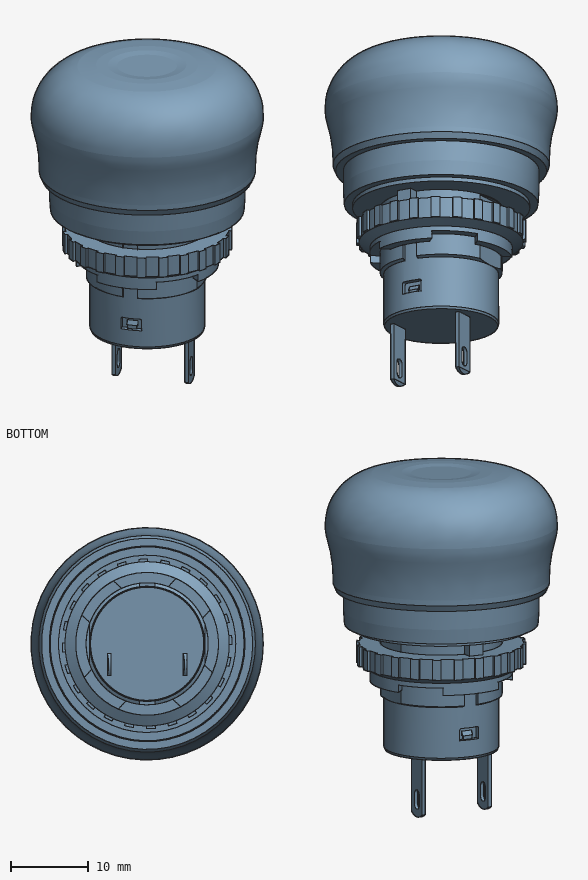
import cadquery as cq
import math

HEIGHT = 44.5

CAP_RADIUS = 15.0
CAP_BOTTOM = 29.05
EQUATOR_Z = 37.55
CROWN_DROP = 0.2
CROWN_SHOULDER_RADIUS = 9.0
CROWN_RING_RADIUS = 6.6
DISH_RIM_RADIUS = 5.07
DISH_FLOOR_RADIUS = 3.85
DISH_DEPTH = 0.15
FLARE_TOP_Z = 35.7
FLARE_TOP_RADIUS = 14.75
SKIRT_RADIUS = 13.97
SKIRT_TOP_Z = 30.53
CAP_CHAMFER_TOP_Z = 29.85
CAP_BOTTOM_RADIUS = 13.6

BEZEL_RADIUS = 12.65
BEZEL_LOWER_TOP_Z = 26.4
BEZEL_BOTTOM_RADIUS = 12.5
BEZEL_BOTTOM_Z = 24.5
FLANGE_RADIUS = 11.45
FLANGE_BOTTOM_Z = 24.0
NECK_RADIUS = 7.88
NECK_CUT_TOP_Z = 23.85
NECK_BOTTOM_Z = 15.2
BARREL_RADIUS = 7.45
BARREL_TOP_Z = 15.0
BARREL_BOTTOM_Z = 8.0
BARREL_CHAMFER_HEIGHT = 0.3
BARREL_CHAMFER_WIDTH = 0.15
KEYWAY_WIDTH = 2.0
KEY_ROOT_DEPTH = 0.45

WINDOW_WIDTH = 2.8
WINDOW_BOTTOM_Z = 10.55
WINDOW_HEIGHT = 1.6
WINDOW_CORNER = 0.25
WINDOW_DEPTH = 0.8
LATCH_WIDTH = 1.45
LATCH_TIP_WIDTH = 1.2
LATCH_HEIGHT = 1.05
LATCH_TIP_HEIGHT = 0.5
LATCH_REACH = 0.3

TERMINAL_X = 4.9
TERMINAL_Y = 2.65
TERMINAL_WIDTH = 2.8
TERMINAL_THICKNESS = 0.5
TERMINAL_TIP_HEIGHT = 0.55
TIP_BEVEL = 0.2
EYE_WIDTH = 1.2
EYE_LENGTH = 2.55
EYE_Z = 2.3

NUT_TOP_Z = 22.03
TEETH_BOTTOM_Z = 19.35
CONE_BOTTOM_Z = 18.6
NOTCH_TOP_Z = 18.0
NUT_BOTTOM_Z = 17.0
TOOTH_TIP_RADIUS = 10.95
TOOTH_ROOT_RADIUS = 10.6
NUT_COLLAR_RADIUS = 9.2
TOOTH_COUNT = 24
TOOTH_ANGLE = 6.0
FIRST_TOOTH_ANGLE = -77.6
NOTCH_COUNT = 4
NOTCH_WIDTH = 6.0
FIRST_NOTCH_ANGLE = 42.8


def polar(radius, degrees):
    angle = math.radians(degrees)
    return (radius * math.cos(angle), radius * math.sin(angle))


def sector(radius, middle, width, bottom, top):
    """Pie slice about Z, of the given angular width in degrees around its middle angle."""
    return (
        cq.Workplane("XY", origin=(0, 0, bottom))
        .lineTo(*polar(radius, middle - width / 2))
        .threePointArc(polar(radius, middle), polar(radius, middle + width / 2))
        .close()
        .extrude(top - bottom)
    )


def make_cap():
    shoulder_z = HEIGHT - CROWN_DROP
    inward = CAP_RADIUS - CROWN_SHOULDER_RADIUS
    upward = shoulder_z - EQUATOR_Z
    dome_radius = (inward**2 + upward**2) / (2 * inward)
    dome_middle = math.asin(upward / dome_radius) / 2
    dome_middle_point = (
        CAP_RADIUS - dome_radius * (1 - math.cos(dome_middle)),
        EQUATOR_Z + dome_radius * math.sin(dome_middle),
    )
    profile = (
        cq.Workplane("XZ")
        .moveTo(0, CAP_BOTTOM)
        .lineTo(CAP_BOTTOM_RADIUS, CAP_BOTTOM)
        .lineTo(SKIRT_RADIUS, CAP_CHAMFER_TOP_Z)
        .lineTo(SKIRT_RADIUS, SKIRT_TOP_Z)
        .tangentArcPoint((FLARE_TOP_RADIUS, FLARE_TOP_Z), relative=False)
        .tangentArcPoint((CAP_RADIUS, EQUATOR_Z), relative=False)
        .threePointArc(dome_middle_point, (CROWN_SHOULDER_RADIUS, shoulder_z))
        .lineTo(CROWN_RING_RADIUS, HEIGHT)
        .lineTo(DISH_RIM_RADIUS, HEIGHT)
        .lineTo(DISH_FLOOR_RADIUS, HEIGHT - DISH_DEPTH)
        .lineTo(0, HEIGHT - DISH_DEPTH)
        .close()
    )
    return profile.revolve(360, (0, 0, 0), (0, 1, 0))


def make_base_core():
    profile = (
        cq.Workplane("XZ")
        .moveTo(0, BARREL_BOTTOM_Z)
        .lineTo(BARREL_RADIUS - BARREL_CHAMFER_WIDTH, BARREL_BOTTOM_Z)
        .lineTo(BARREL_RADIUS, BARREL_BOTTOM_Z + BARREL_CHAMFER_HEIGHT)
        .lineTo(BARREL_RADIUS, BARREL_TOP_Z)
        .lineTo(NECK_RADIUS, NECK_BOTTOM_Z)
        .lineTo(NECK_RADIUS, FLANGE_BOTTOM_Z)
        .lineTo(FLANGE_RADIUS, FLANGE_BOTTOM_Z)
        .lineTo(FLANGE_RADIUS, BEZEL_BOTTOM_Z)
        .lineTo(BEZEL_BOTTOM_RADIUS, BEZEL_BOTTOM_Z)
        .lineTo(BEZEL_RADIUS, BEZEL_LOWER_TOP_Z)
        .lineTo(BEZEL_RADIUS, CAP_BOTTOM)
        .lineTo(0, CAP_BOTTOM)
        .close()
    )
    return profile.revolve(360, (0, 0, 0), (0, 1, 0))


def cut_neck(core):
    """Flats on the -X and +X sides and keyways on the -Y and +Y sides, down to the barrel surface."""
    cut_height = NECK_CUT_TOP_Z - BARREL_TOP_Z
    ring = (
        cq.Workplane("XY", origin=(0, 0, BARREL_TOP_Z))
        .circle(FLANGE_RADIUS)
        .circle(BARREL_RADIUS)
        .extrude(cut_height)
    )
    across = 2 * FLANGE_RADIUS
    keyways = (
        cq.Workplane("XY", origin=(0, 0, BARREL_TOP_Z))
        .rect(KEYWAY_WIDTH, across)
        .extrude(cut_height)
        .intersect(ring)
    )
    between_flats = cq.Workplane("XY", origin=(0, 0, BARREL_TOP_Z)).rect(2 * BARREL_RADIUS, across)
    outside_flats = ring.cut(between_flats.extrude(cut_height))
    return core.cut(keyways).cut(outside_flats)


def make_key():
    """Anti-rotation key on the +Y side, from the flange down to the nut."""
    length = NUT_COLLAR_RADIUS - BARREL_RADIUS + KEY_ROOT_DEPTH
    return (
        cq.Workplane("XY", origin=(0, NUT_COLLAR_RADIUS - length / 2, NUT_TOP_Z))
        .rect(KEYWAY_WIDTH, length)
        .extrude(FLANGE_BOTTOM_Z - NUT_TOP_Z)
    )


def make_window():
    """Pocket on the -Y side of the barrel, less the latch that stays standing in it."""
    floor_y = -(BARREL_RADIUS - WINDOW_DEPTH)
    pocket = (
        cq.Workplane("XZ", origin=(0, floor_y, WINDOW_BOTTOM_Z + WINDOW_HEIGHT / 2))
        .rect(WINDOW_WIDTH, WINDOW_HEIGHT)
        .extrude(2 * WINDOW_DEPTH)
        .edges("|Y and >Z")
        .fillet(WINDOW_CORNER)
    )
    wedge = (
        cq.Workplane("YZ", origin=(-LATCH_WIDTH / 2, floor_y, WINDOW_BOTTOM_Z))
        .moveTo(0, LATCH_TIP_HEIGHT)
        .lineTo(-LATCH_REACH, LATCH_TIP_HEIGHT)
        .lineTo(0, LATCH_HEIGHT)
        .close()
        .extrude(LATCH_WIDTH)
    )
    stem = (
        cq.Workplane("XY", origin=(0, floor_y - LATCH_REACH / 2, WINDOW_BOTTOM_Z))
        .rect(LATCH_TIP_WIDTH, LATCH_REACH)
        .extrude(LATCH_TIP_HEIGHT)
    )
    return pocket.cut(wedge).cut(stem)


def make_terminal(side):
    """Flat blade with an eye and a rounded, bevelled tip; side is -1 or +1 along X."""
    half_width = TERMINAL_WIDTH / 2
    half_thickness = TERMINAL_THICKNESS / 2
    blade = (
        cq.Workplane("YZ", origin=(-half_thickness, 0, 0))
        .moveTo(-half_width, BARREL_BOTTOM_Z)
        .lineTo(-half_width, TERMINAL_TIP_HEIGHT)
        .threePointArc((0, 0), (half_width, TERMINAL_TIP_HEIGHT))
        .lineTo(half_width, BARREL_BOTTOM_Z)
        .close()
        .extrude(TERMINAL_THICKNESS)
    )
    bevelled = (
        cq.Workplane("XZ", origin=(0, half_width, 0))
        .moveTo(-half_thickness, BARREL_BOTTOM_Z)
        .lineTo(-half_thickness, TERMINAL_TIP_HEIGHT)
        .lineTo(-half_thickness + TIP_BEVEL, 0)
        .lineTo(half_thickness, 0)
        .lineTo(half_thickness, BARREL_BOTTOM_Z)
        .close()
        .extrude(TERMINAL_WIDTH)
    )
    eye = (
        cq.Workplane("YZ", origin=(-half_thickness, 0, EYE_Z))
        .slot2D(EYE_LENGTH, EYE_WIDTH, 90)
        .extrude(TERMINAL_THICKNESS)
    )
    return blade.intersect(bevelled).cut(eye).translate((side * TERMINAL_X, TERMINAL_Y, 0))


def make_base():
    base = cut_neck(make_base_core()).union(make_key())
    window = make_window()
    base = base.cut(window).cut(window.rotate((0, 0, 0), (0, 0, 1), 180))
    for side in (-1, 1):
        base = base.union(make_terminal(side))
    return base


def make_nut():
    profile = (
        cq.Workplane("XZ")
        .moveTo(NECK_RADIUS, NUT_BOTTOM_Z)
        .lineTo(NUT_COLLAR_RADIUS, NUT_BOTTOM_Z)
        .lineTo(NUT_COLLAR_RADIUS, CONE_BOTTOM_Z)
        .lineTo(TOOTH_ROOT_RADIUS, TEETH_BOTTOM_Z)
        .lineTo(TOOTH_ROOT_RADIUS, NUT_TOP_Z)
        .lineTo(NECK_RADIUS, NUT_TOP_Z)
        .close()
    )
    nut = profile.revolve(360, (0, 0, 0), (0, 1, 0))

    bore = (
        cq.Workplane("XY", origin=(0, 0, TEETH_BOTTOM_Z))
        .circle(NECK_RADIUS)
        .extrude(NUT_TOP_Z - TEETH_BOTTOM_Z)
    )
    for index in range(TOOTH_COUNT):
        middle = FIRST_TOOTH_ANGLE + index * 360 / TOOTH_COUNT
        tooth = sector(TOOTH_TIP_RADIUS, middle, TOOTH_ANGLE, TEETH_BOTTOM_Z, NUT_TOP_Z)
        nut = nut.union(tooth.cut(bore))

    notch = (
        cq.Workplane("XY", origin=(NUT_COLLAR_RADIUS / 2, 0, NUT_BOTTOM_Z))
        .rect(NUT_COLLAR_RADIUS, NOTCH_WIDTH)
        .extrude(NOTCH_TOP_Z - NUT_BOTTOM_Z)
    )
    for index in range(NOTCH_COUNT):
        middle = FIRST_NOTCH_ANGLE + index * 360 / NOTCH_COUNT
        nut = nut.cut(notch.rotate((0, 0, 0), (0, 0, 1), middle))
    return nut


cap = make_cap()
base = make_base()
nut = make_nut()

result = cq.Compound.makeCompound([*cap.solids().vals(), *base.solids().vals(), *nut.solids().vals()])